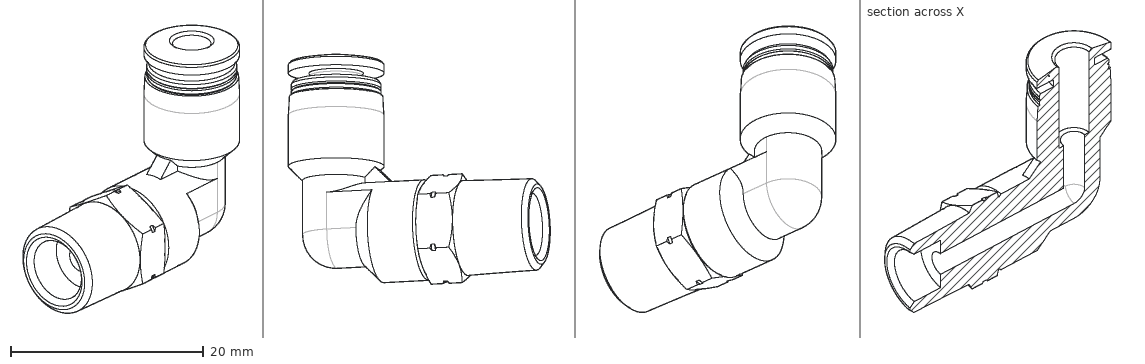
import cadquery as cq
import math


overall_length = 27.0
overall_height = 24.45

elbow_radius = 3.5
body_radius = 10.5 / 2
body_cone_start = 3.15
body_full_start = body_cone_start + body_radius - elbow_radius
body_full_end = 9.8

hex_flats = 10.0
hex_corner_radius = hex_flats / 2 / math.cos(math.pi / 6)
hex_start = 10.07
hex_end = 14.07
hex_chamfer_radius = 4.97
hex_rear_chamfer = 0.22
hex_front_chamfer = 0.4
notch_position = 11.93
notch_depth = 0.2
notch_mouth_width = 0.68
notch_floor_width = 0.38

stud_length = overall_length - hex_flats / 2
stud_root_radius = 9.9 / 2
stud_tip_radius = 4.78
stud_chamfer_length = 0.55
stud_end_radius = 4.18
stud_bore_mouth_radius = 3.8
stud_bore_radius = 6.48 / 2
stud_bore_chamfer = stud_bore_mouth_radius - stud_bore_radius
stud_bore_depth = 4.1

socket_radius = 10.0 / 2
socket_cone_bottom = 5.75
socket_cone_top = socket_cone_bottom + socket_radius - elbow_radius
socket_taper_start = 12.65
socket_top = 14.6
socket_top_radius = 4.9

collar_radius = 9.4 / 2
collar_lower_edge = 14.77
collar_groove = 15.28
collar_groove_half_width = 0.14
collar_groove_depth = 0.15
collar_upper_edge = 15.85
collar_top = 16.17
collar_foot_radius = 4.6
collar_top_radius = 4.5

button_neck_radius = 5.5 / 2
button_neck_flare = 0.08
button_flare_start = 16.82
button_bottom = 17.1
button_radius = 5.0
button_rim_radius = 4.8
button_edge = 17.98
button_rim_height = 18.2
button_top = overall_height - hex_corner_radius
tube_bore_radius = 4.0 / 2
tube_bore_mouth_radius = 2.32
tube_bore_bottom = 7.3

rib_width = 1.9
rib_reach = 11.29
rib_inner = 2.7
rib_bottom = 4.05
rib_outer = 6.15
rib_top_offset = 4.32

passage_radius = 2.8 / 2


def revolve_upright(points):
    """Turn a closed (radius, height) outline about the Z axis."""
    return cq.Workplane("XZ").polyline(points).close().revolve(360, (0, 0, 0), (0, 1, 0))


def revolve_along_stud(points):
    """Turn a closed (radius, distance toward -Y) outline about the Y axis."""
    outline = [(radius, -distance) for radius, distance in points]
    return cq.Workplane("XY").polyline(outline).close().revolve(360, (0, 0, 0), (0, 1, 0))


def make_elbow():
    upright = cq.Workplane("XY").circle(elbow_radius).extrude(socket_cone_bottom)
    lying = cq.Workplane("XZ").circle(elbow_radius).extrude(body_full_start)
    saddle = cq.Workplane("XZ").circle(body_radius).extrude(body_full_start)
    flat_sides = cq.Workplane("XY").box(
        2 * elbow_radius, 2 * body_full_start, body_radius, centered=(True, True, False)
    )
    knee = cq.Workplane("XY").sphere(elbow_radius)
    return upright.union(lying).union(saddle.intersect(flat_sides)).union(knee)


def make_body():
    return revolve_along_stud([
        (0, body_cone_start),
        (elbow_radius, body_cone_start),
        (body_radius, body_full_start),
        (body_radius, body_full_end),
        (hex_chamfer_radius, hex_start),
        (0, hex_start),
    ])


def make_hexagon():
    prism = (
        cq.Workplane("XZ", origin=(0, -hex_start, 0))
        .polygon(6, 2 * hex_corner_radius)
        .extrude(hex_end - hex_start)
        .rotate((0, 0, 0), (0, 1, 0), 30)
    )
    notch_floor_radius = hex_corner_radius - notch_depth
    envelope = revolve_along_stud([
        (0, hex_start),
        (hex_chamfer_radius, hex_start),
        (hex_corner_radius, hex_start + hex_rear_chamfer),
        (hex_corner_radius, notch_position - notch_mouth_width / 2),
        (notch_floor_radius, notch_position - notch_floor_width / 2),
        (notch_floor_radius, notch_position + notch_floor_width / 2),
        (hex_corner_radius, notch_position + notch_mouth_width / 2),
        (hex_corner_radius, hex_end - hex_front_chamfer),
        (hex_chamfer_radius, hex_end),
        (0, hex_end),
    ])
    return prism.intersect(envelope)


def make_stud():
    return revolve_along_stud([
        (0, hex_end),
        (stud_root_radius, hex_end),
        (stud_tip_radius, stud_length - stud_chamfer_length),
        (stud_end_radius, stud_length),
        (0, stud_length),
    ])


def make_socket():
    groove_radius = collar_radius - collar_groove_depth
    return revolve_upright([
        (0, socket_cone_bottom),
        (elbow_radius, socket_cone_bottom),
        (socket_radius, socket_cone_top),
        (socket_radius, socket_taper_start),
        (socket_top_radius, socket_top),
        (collar_foot_radius, socket_top),
        (collar_radius, collar_lower_edge),
        (collar_radius, collar_groove - collar_groove_half_width),
        (groove_radius, collar_groove),
        (collar_radius, collar_groove + collar_groove_half_width),
        (collar_radius, collar_upper_edge),
        (collar_top_radius, collar_top),
        (button_neck_radius, collar_top),
        (button_neck_radius, button_flare_start),
        (button_neck_radius + button_neck_flare, button_bottom),
        (button_radius, button_bottom),
        (button_radius, button_edge),
        (button_rim_radius, button_rim_height),
        (tube_bore_mouth_radius, button_top),
        (0, button_top),
    ])


def make_rib():
    return (
        cq.Workplane("YZ")
        .polyline([
            (-rib_inner, rib_bottom),
            (-rib_outer, rib_bottom),
            (-rib_outer, rib_reach - rib_outer),
            (-rib_top_offset, rib_reach - rib_top_offset),
            (-rib_inner, rib_reach - rib_top_offset),
        ])
        .close()
        .extrude(rib_width / 2, both=True)
    )


def make_bores():
    tube_bore = revolve_upright([
        (0, tube_bore_bottom),
        (tube_bore_radius, tube_bore_bottom),
        (tube_bore_radius, button_top - (tube_bore_mouth_radius - tube_bore_radius)),
        (tube_bore_mouth_radius, button_top),
        (0, button_top),
    ])
    stud_bore = revolve_along_stud([
        (0, stud_length - stud_bore_depth),
        (stud_bore_radius, stud_length - stud_bore_depth),
        (stud_bore_radius, stud_length - stud_bore_chamfer),
        (stud_bore_mouth_radius, stud_length),
        (0, stud_length),
    ])
    upright_passage = cq.Workplane("XY").circle(passage_radius).extrude(tube_bore_bottom)
    lying_passage = cq.Workplane("XZ").circle(passage_radius).extrude(stud_length - stud_bore_depth)
    corner = cq.Workplane("XY").sphere(passage_radius)
    return tube_bore.union(stud_bore).union(upright_passage).union(lying_passage).union(corner)


solid_form = make_elbow()
for feature in (make_body(), make_hexagon(), make_stud(), make_socket(), make_rib()):
    solid_form = solid_form.union(feature)

result = solid_form.cut(make_bores())